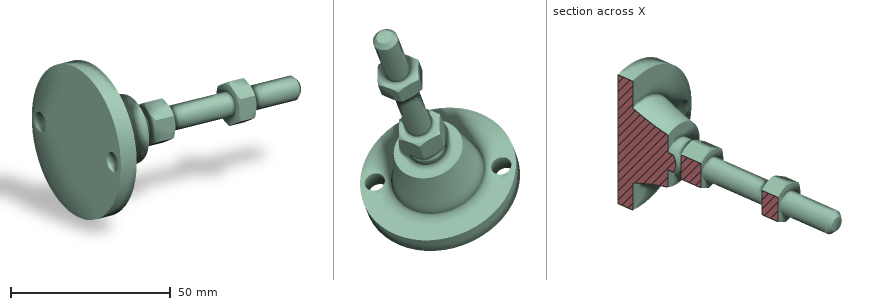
import cadquery as cq
import math

total_length = 83.0

base_radius = 25.0
base_thickness = 6.0
hole_radius = 3.2
hole_offset = 20.25

hub_height = 14.0
hub_bottom_radius = 15.0
hub_top_radius = 11.0
hub_sag = 0.3

stud_radius = 4.0
stud_tip_radius = 2.5
stud_tip_length = 1.6
collar_radius = 6.0
collar_height = 2.0

nut_across_flats = 13.0
lower_nut_start = 25.0
lower_nut_height = 8.0
upper_nut_start = 57.0
upper_nut_height = 6.5
nut_chamfer_angle = 30.0

hub_top = base_thickness + hub_height
collar_top = hub_top + collar_height
collar_cone_top = collar_top + collar_radius - stud_radius


def revolve_about_axis(profile):
    """Revolve a closed (radius, Y) profile a full turn about the Y axis."""
    return profile.close().revolve(360, (0, 0, 0), (0, 1, 0))


def make_foot_and_stud():
    """Base plate, hub, collar and stud as one turned body."""
    hub_middle_radius = (hub_bottom_radius + hub_top_radius) / 2 - hub_sag
    hub_middle_y = base_thickness + hub_height / 2
    profile = (
        cq.Workplane("XY")
        .lineTo(base_radius, 0)
        .lineTo(base_radius, base_thickness)
        .lineTo(hub_bottom_radius, base_thickness)
        .threePointArc((hub_middle_radius, hub_middle_y), (hub_top_radius, hub_top))
        .lineTo(collar_radius, hub_top)
        .lineTo(collar_radius, collar_top)
        .lineTo(stud_radius, collar_cone_top)
        .lineTo(stud_radius, total_length - stud_tip_length)
        .lineTo(stud_tip_radius, total_length)
        .lineTo(0, total_length)
    )
    return revolve_about_axis(profile)


def make_nut(start, height):
    """Hexagon nut whose corners are trimmed by a cone at both ends."""
    face_radius = nut_across_flats / 2
    corner_radius = face_radius / math.cos(math.radians(30))
    chamfer_length = (corner_radius - face_radius) * math.tan(math.radians(nut_chamfer_angle))
    end = start + height
    hexagon = (
        cq.Workplane("XZ", origin=(0, start, 0))
        .transformed(rotate=(0, 0, 90))
        .polygon(6, 2 * corner_radius)
        .extrude(-height)
    )
    envelope = (
        cq.Workplane("XY")
        .moveTo(0, start)
        .lineTo(face_radius, start)
        .lineTo(corner_radius, start + chamfer_length)
        .lineTo(corner_radius, end - chamfer_length)
        .lineTo(face_radius, end)
        .lineTo(0, end)
    )
    return hexagon.intersect(revolve_about_axis(envelope))


mounting_holes = (
    cq.Workplane("XZ")
    .pushPoints([(-hole_offset, 0), (hole_offset, 0)])
    .circle(hole_radius)
    .extrude(-base_thickness)
)

result = (
    make_foot_and_stud()
    .cut(mounting_holes)
    .union(make_nut(lower_nut_start, lower_nut_height))
    .union(make_nut(upper_nut_start, upper_nut_height))
)